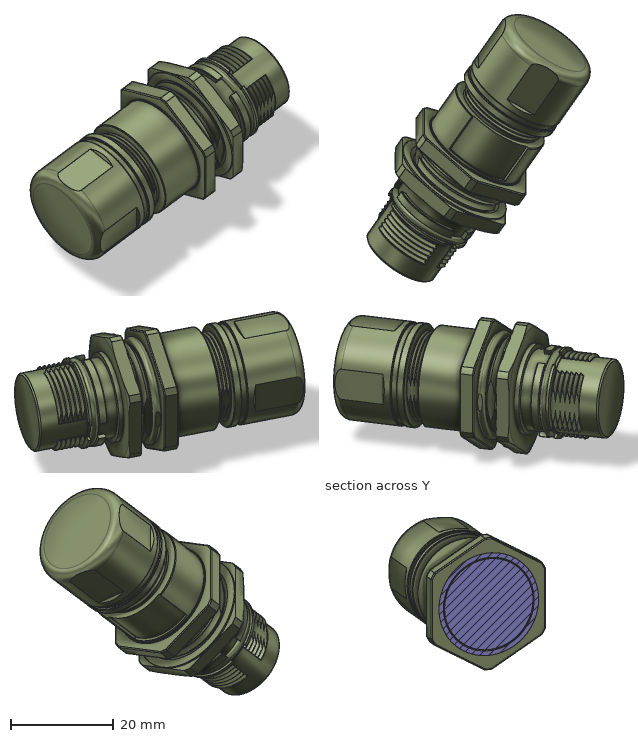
import cadquery as cq
import math

LENGTH = 54.55

REAR_THREAD_START = 4.0
COLLAR_END = 10.4
LUG_START = 12.0
LUG_END = 13.6
LEAD_IN_START = 16.0
LOCKNUT_START = 16.95
PANEL_THREAD_START = 18.0
LOCKNUT_END = 19.95
FIXED_HEX_START = 24.35
FIXED_HEX_END = 27.3
BODY_START = 27.55
BODY_END = 36.5
CAP_THREAD_START = 37.1
CLAMP_RING_END = 40.95
CAP_START = 42.1

REAR_RADIUS = 7.8
NECK_RADIUS = 8.0
COLLAR_RADIUS = 9.0
BODY_RADIUS = 10.3
BODY_SHOULDER_RADIUS = 10.55
CAP_NECK_RADIUS = 8.5
CAP_GROOVE_RADIUS = 9.8

REAR_THREAD = dict(root=7.65, crest=8.4, pitch=1.0, ridges=6, flat=7.6)
PANEL_THREAD = dict(root=9.05, crest=10.0, pitch=1.55, ridges=3, flat=8.95)
CAP_THREAD = dict(root=8.55, crest=8.95, pitch=0.75, ridges=3, flat=8.5)


def thread_end(start, size):
    return start + size["pitch"] * size["ridges"]


REAR_THREAD_END = thread_end(REAR_THREAD_START, REAR_THREAD)
PANEL_THREAD_END = thread_end(PANEL_THREAD_START, PANEL_THREAD)
CAP_THREAD_END = thread_end(CAP_THREAD_START, CAP_THREAD)

KEYWAY_COUNT = 3
KEYWAY_WIDTH = 4.05
THREAD_KEYWAY_ANGLE = 66.0
LUG_KEYWAY_ANGLE = 70.0

REAR_SEAL_RADIUS = 8.85
PANEL_SEAL_RADIUS = 10.8
PANEL_SEAL_FLAT = 10.65
PANEL_SEAL_SEAT_RADIUS = 9.3

HEX_ACROSS_FLATS = 23.9
HEX_CORNER_DIAMETER = 26.8
LOCKNUT_BEVEL = 0.3
LOCKNUT_BEVEL_RUN = 1.1
LOCKNUT_FACE_STEP = 0.35
LOCKNUT_BORE_RADIUS = 9.3
LOCKNUT_COUNTERSINK_RADIUS = 10.25
LOCKNUT_COUNTERSINK_DEPTH = 0.55
FIXED_HEX_CHAMFER = 0.2

REAR_CHAMFER = 0.35
EDGE_CHAMFER = 0.15
CAP_FILLET = 2.1
CAP_FLAT = 9.8
CAP_FLAT_START = 43.9

LABEL_START = 28.05
LABEL_DEPTH = 0.55
LABEL_ANGLE = 78.0


def plane_at(station):
    """Cross-section plane at a station: local x is X, local y is Z, normal is -Y."""
    return cq.Workplane("XZ", origin=(0, LENGTH / 2 - station, 0))


def disc(start, end, radius):
    return plane_at(start).circle(radius).extrude(end - start)


def slab(start, end, half_width):
    """Block limited to +/- half_width in X and unlimited in Z for this part."""
    return plane_at(start).rect(2 * half_width, LENGTH).extrude(end - start)


def wedge(start, end, middle_angle, width):
    """Triangular prism spreading from the axis, wider than the gland."""
    edges = [math.radians(middle_angle + side * width / 2) for side in (-1, 1)]
    corners = [(LENGTH * math.cos(a), LENGTH * math.sin(a)) for a in edges]
    return plane_at(start).polyline([(0, 0)] + corners).close().extrude(end - start)


def keyways(start, end, first_angle):
    """Parallel-sided bars running outward from the axis, evenly spread around it."""
    bar = plane_at(start).center(LENGTH / 2, 0).rect(LENGTH, KEYWAY_WIDTH).extrude(end - start)
    bars = cq.Workplane("XZ")
    for index in range(KEYWAY_COUNT):
        bars = bars.add(bar.rotate((0, 0, 0), (0, 1, 0), -first_angle - index * 360 / KEYWAY_COUNT))
    return bars.combine()


def thread(start, root, crest, pitch, ridges, flat):
    """Thread as a row of V ridges, cut flat on the +X and -X sides."""
    rear_y = LENGTH / 2 - start
    front_y = rear_y - ridges * pitch
    outline = [(0, rear_y), (root, rear_y)]
    for index in range(ridges):
        ridge_y = rear_y - index * pitch
        outline.append((crest, ridge_y - pitch / 2))
        outline.append((root, ridge_y - pitch))
    outline.append((0, front_y))
    screw = cq.Workplane("XY").polyline(outline).close().revolve(360, (0, 0, 0), (0, 1, 0))
    return screw.intersect(slab(start, start + ridges * pitch, flat))


def seal(start, end, outer_radius):
    """Round-section ring filling the space between two stations."""
    section_radius = (end - start) / 2
    ring_radius = outer_radius - section_radius
    section = cq.Workplane("XY").center(ring_radius, LENGTH / 2 - (start + end) / 2).circle(section_radius)
    return section.revolve(360, (-ring_radius, 0, 0), (-ring_radius, 1, 0))


def hexagon(start, end):
    point_diameter = HEX_ACROSS_FLATS / math.cos(math.radians(30))
    prism = plane_at(start).polygon(6, point_diameter).extrude(end - start)
    return prism.rotate((0, 0, 0), (0, 1, 0), 30)


def rear_spigot():
    """Plain nose, keyed thread, collar, seal and locking lugs."""
    nose = disc(0, REAR_THREAD_START, REAR_RADIUS).faces(">Y").chamfer(REAR_CHAMFER)
    keyway = keyways(REAR_THREAD_START, REAR_THREAD_END, THREAD_KEYWAY_ANGLE)
    threaded = thread(REAR_THREAD_START, **REAR_THREAD).cut(keyway)
    keys = disc(REAR_THREAD_START, REAR_THREAD_END, REAR_RADIUS).intersect(keyway)
    gaps = keyways(REAR_THREAD_END, LUG_END, LUG_KEYWAY_ANGLE)
    collar = disc(REAR_THREAD_END, COLLAR_END, COLLAR_RADIUS).cut(gaps)
    lugs = disc(LUG_START, LUG_END, COLLAR_RADIUS).edges("<Y").chamfer(EDGE_CHAMFER).cut(gaps)
    neck = disc(REAR_THREAD_END, LEAD_IN_START, NECK_RADIUS)
    ring = seal(COLLAR_END, LUG_START, REAR_SEAL_RADIUS)
    return nose.union(threaded).union(keys).union(neck).union(collar).union(lugs).union(ring)


def panel_section():
    """Plain lead-in under the locknut, panel thread, and the seal against the fixed hexagon."""
    lead_in = disc(LEAD_IN_START, PANEL_THREAD_START, COLLAR_RADIUS)
    threaded = thread(PANEL_THREAD_START, **PANEL_THREAD)
    seat = disc(PANEL_THREAD_END, FIXED_HEX_START, PANEL_SEAL_SEAT_RADIUS)
    ring = seal(PANEL_THREAD_END, FIXED_HEX_START, PANEL_SEAL_RADIUS)
    ring = ring.intersect(slab(PANEL_THREAD_END, FIXED_HEX_START, PANEL_SEAL_FLAT))
    return lead_in.union(threaded).union(seat).union(ring)


def locknut():
    """Loose hexagon nut, bevelled at the rear, with a round countersunk face at the front."""
    step_start = LOCKNUT_END - LOCKNUT_FACE_STEP
    blank = disc(LOCKNUT_START, step_start, HEX_CORNER_DIAMETER / 2)
    blank = blank.faces(">Y").chamfer(LOCKNUT_BEVEL, LOCKNUT_BEVEL_RUN)
    face = disc(step_start, LOCKNUT_END, HEX_ACROSS_FLATS / 2)
    nut = hexagon(LOCKNUT_START, step_start).intersect(blank).union(face)
    countersink = (
        plane_at(LOCKNUT_END - LOCKNUT_COUNTERSINK_DEPTH)
        .circle(LOCKNUT_BORE_RADIUS)
        .workplane(offset=LOCKNUT_COUNTERSINK_DEPTH)
        .circle(LOCKNUT_COUNTERSINK_RADIUS)
        .loft()
    )
    return nut.cut(countersink)


def fixed_hexagon():
    blank = disc(FIXED_HEX_START, FIXED_HEX_END, HEX_CORNER_DIAMETER / 2)
    nut = hexagon(FIXED_HEX_START, FIXED_HEX_END).intersect(blank)
    return nut.faces("<Y or >Y").chamfer(FIXED_HEX_CHAMFER)


def body():
    """Round body with a shoulder, and a shallow curved label recess open at the front."""
    shoulder = disc(FIXED_HEX_END, BODY_START, BODY_SHOULDER_RADIUS)
    barrel = disc(BODY_START, BODY_END, BODY_RADIUS).edges("<Y").chamfer(EDGE_CHAMFER)
    recess = wedge(LABEL_START, BODY_END, 270, LABEL_ANGLE).cut(
        disc(LABEL_START, BODY_END, BODY_RADIUS - LABEL_DEPTH)
    )
    return shoulder.union(barrel.cut(recess))


def cap_neck():
    """Threaded neck between the body and the cap, followed by the clamp ring and its groove."""
    neck = disc(BODY_END, CAP_THREAD_START, CAP_NECK_RADIUS)
    threaded = thread(CAP_THREAD_START, **CAP_THREAD)
    ring = disc(CAP_THREAD_END, CLAMP_RING_END, BODY_RADIUS).edges().chamfer(EDGE_CHAMFER)
    groove = disc(CLAMP_RING_END, CAP_START, CAP_GROOVE_RADIUS)
    return neck.union(threaded).union(ring).union(groove)


def cap():
    """Closed cap with a rounded front edge and four wrench flats with sloped rear ends."""
    shell = disc(CAP_START, LENGTH, BODY_RADIUS)
    shell = shell.edges("<Y").fillet(CAP_FILLET).edges(">Y").chamfer(EDGE_CHAMFER)
    flat_y = LENGTH / 2 - CAP_FLAT_START
    clearance = BODY_RADIUS
    flat_cutter = (
        cq.Workplane("YZ")
        .polyline([
            (flat_y, CAP_FLAT),
            (flat_y + clearance, CAP_FLAT + clearance),
            (-LENGTH, CAP_FLAT + clearance),
            (-LENGTH, CAP_FLAT),
        ])
        .close()
        .extrude(clearance, both=True)
    )
    for index in range(4):
        shell = shell.cut(flat_cutter.rotate((0, 0, 0), (0, 1, 0), index * 90))
    return shell


result = rear_spigot()
for section in (panel_section(), locknut(), fixed_hexagon(), body(), cap_neck(), cap()):
    result = result.union(section)